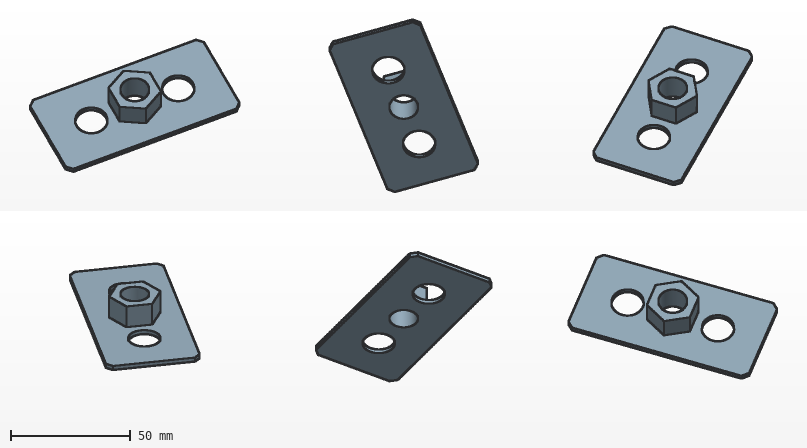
import cadquery as cq
import math

plate_width = 40.0
plate_length = 80.0
plate_thickness = 2.0
corner_chamfer = 2.5

side_hole_diameter = 13.5
side_hole_spacing = plate_length / 2

total_height = 12.0
nut_across_flats = 19.0
nut_across_corners = nut_across_flats / math.cos(math.pi / 6)
nut_bore_diameter = 12.0


def make_plate():
    """Flat plate with chamfered corners and its underside at Z = 0."""
    plate = cq.Workplane("XY").box(
        plate_width, plate_length, plate_thickness, centered=(True, True, False)
    )
    plate = plate.edges("|Z").chamfer(corner_chamfer)
    side_holes = (
        cq.Workplane("XY")
        .rarray(0.8, side_hole_spacing, 1, 2)
        .circle(side_hole_diameter / 2)
        .extrude(plate_thickness)
    )
    return plate.cut(side_holes)


def make_nut():
    """Solid hexagonal prism rising from the underside of the plate."""
    return cq.Workplane("XY").polygon(6, nut_across_corners).extrude(total_height)


bore = cq.Workplane("XY").circle(nut_bore_diameter / 2).extrude(total_height)

result = make_plate().union(make_nut()).cut(bore)